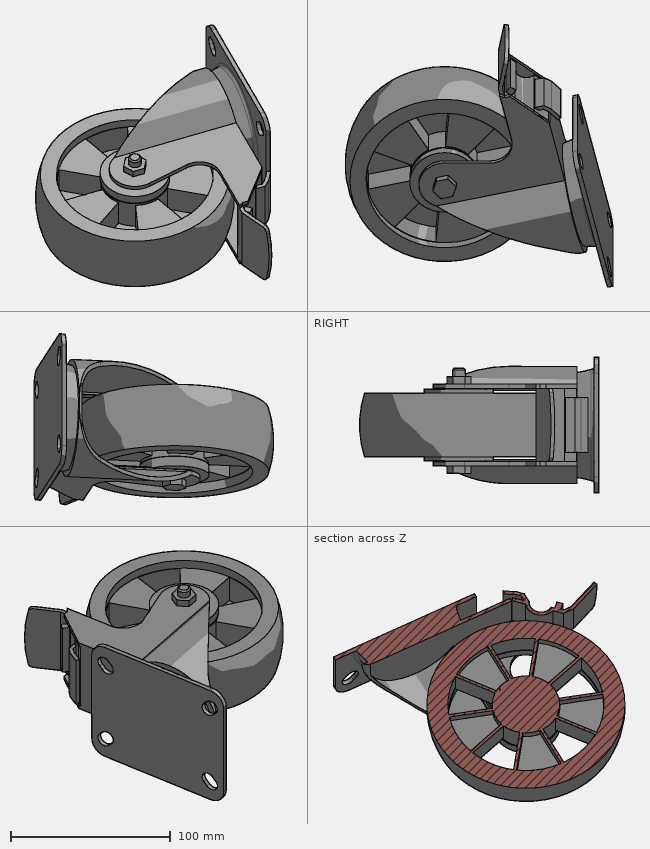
import cadquery as cq
import math


OVERALL_LENGTH = 171.1

WHEEL_RADIUS = 62.3
TREAD_EDGE_RADIUS = 59.2
WHEEL_HALF_WIDTH = 20.0
RIM_RADIUS = 98.0 / 2
HUB_RADIUS = 21.2
HUB_FLANGE_RADIUS = 21.7
HUB_FLANGE_THICKNESS = 6.3
HUB_HALF_LENGTH = 22.4
RAISED_SECTORS = 5
SECTOR_ANGLE = 360 / (2 * RAISED_SECTORS)
WEB_FACE_DEPTH = 6.0
POCKET_DEPTH = 18.1
SPOKE_WALL = 2.2
POCKET_LEDGE = 0.3

BOLT_RADIUS = 8.0 / 2
BOLT_END = 35.6
BOLT_CHAMFER = 1.0
NUT_DIAMETER = 15.0
NUT_HEIGHT = 4.6

SWIVEL_X = -40.0
PLATE_TOP = 87.6
PLATE_LENGTH = 100.1
PLATE_WIDTH = 85.0
PLATE_THICKNESS = 2.9
PLATE_CORNER = 10.0
SLOT_SPACING_X = 79.0
SLOT_SPACING_Z = 57.1
SLOT_WIDTH = 9.0
SLOT_LENGTH = 12.5
SLOT_ANGLE = 45
NECK_RADIUS = 34.9
NECK_FLARE = 2.0
NECK_BASE_RADIUS = 33.0

SHEET = 2.5
FORK_TOP = 74.1
SHELL_RADIUS = 73.5 / 2
SHELL_INNER_RADIUS = SHELL_RADIUS - SHEET
ARM_START_X = -13.5
ARM_OUTER_Z = 25.7
ARM_INNER_Z = 23.0
ARM_LIP = 1.4
EYE_RADIUS = 16.0
CUT_BEND = (-66.7, 67.4)
CUT_LINE_START = (-57.3, 57.3)
ARM_BOTTOM = 48.3
NOTCH_RADIUS = 13.7
NOTCH_X = 22.5
SLOPE_TOP_X = 29.1
NOSE_X = 53.7
NOSE_TOP = 54.4
NOSE_BOTTOM = 50.8
NOSE_TIP_X = 55.6

BRAKE_START = (27.9, 71.9)
BRAKE_END = (52.2, ARM_BOTTOM)
BEAD_RADIUS = 10.0
BEAD_CENTRE = (43.8, 62.5)
PEDAL_BEND_X = 59.4
PEDAL_ANGLE = 23.5
PEDAL_BULGE = 2.9
PEDAL_CORNER = 3.5
LEVER_HALF_WIDTH = 17.1
LEVER_LEG_BOTTOM = 66.7
LEVER_BENDS = [(37.5, 72.7), (34.0, 76.5)]
LEVER_TIP = (26.7, 81.0)
TAB_TOP_START = (52.5, 58.0)
TAB_TOP_END = (55.6, 55.1)
TAB_HEIGHT = 6.0


def along_z(profile, half_width):
    return profile.extrude(half_width, both=True)


def cylinder(radius, bottom, top):
    return cq.Workplane("XY").workplane(offset=bottom).circle(radius).extrude(top - bottom)


def swivel_disc(radius, top, thickness):
    """Disc about the swivel axis, hanging down from the height `top`."""
    return cq.Workplane("XZ", origin=(SWIVEL_X, top, 0)).circle(radius).extrude(thickness)


def polar(radius, angle):
    return radius * math.cos(angle), radius * math.sin(angle)


def bar(start, end, thickness):
    """Closed XY outline of a straight strip lying to the left of the line from start to end."""
    length = math.dist(start, end)
    shift_x = -(end[1] - start[1]) / length * thickness
    shift_y = (end[0] - start[0]) / length * thickness
    far_end = (end[0] + shift_x, end[1] + shift_y)
    far_start = (start[0] + shift_x, start[1] + shift_y)
    return cq.Workplane("XY").polyline([start, end, far_end, far_start]).close()


def wheel_sector(angle, bottom, top):
    """Wedge of the web, widened so that it shares a wall with both of its neighbours."""
    half_angle = math.radians(SECTOR_ANGLE / 2)
    reach = WHEEL_RADIUS
    tip_x = -SPOKE_WALL / 2 / math.sin(half_angle)
    half_opening = (reach - tip_x) * math.tan(half_angle)
    wedge = (
        cq.Workplane("XY")
        .workplane(offset=bottom)
        .polyline([(tip_x, 0), (reach, -half_opening), (reach, half_opening)])
        .close()
        .extrude(top - bottom)
        .rotate((0, 0, 0), (0, 0, 1), angle)
    )
    ring = cylinder(RIM_RADIUS, bottom, top).cut(cylinder(HUB_RADIUS, bottom, top))
    return wedge.intersect(ring)


def spoke_wall(angle, half_height):
    """Radial wall joining a raised sector to the sunken one beside it."""
    length = RIM_RADIUS - HUB_RADIUS
    return (
        cq.Workplane("XY")
        .box(length, SPOKE_WALL, 2 * half_height)
        .translate((HUB_RADIUS + length / 2, 0, 0))
        .rotate((0, 0, 0), (0, 0, 1), angle)
    )


def make_wheel():
    tyre = (
        cq.Workplane("XZ")
        .moveTo(RIM_RADIUS, -WHEEL_HALF_WIDTH)
        .lineTo(TREAD_EDGE_RADIUS, -WHEEL_HALF_WIDTH)
        .threePointArc((WHEEL_RADIUS, 0), (TREAD_EDGE_RADIUS, WHEEL_HALF_WIDTH))
        .lineTo(RIM_RADIUS, WHEEL_HALF_WIDTH)
        .close()
        .revolve(360, (0, 0, 0), (0, 1, 0))
    )
    wheel = tyre.union(cylinder(HUB_RADIUS, -HUB_HALF_LENGTH, HUB_HALF_LENGTH))
    web_face = WHEEL_HALF_WIDTH - WEB_FACE_DEPTH
    pocket_floor = web_face - POCKET_DEPTH
    for index in range(RAISED_SECTORS):
        raised_angle = 2 * index * SECTOR_ANGLE
        wheel = wheel.union(wheel_sector(raised_angle, -pocket_floor, web_face))
        wheel = wheel.union(wheel_sector(raised_angle + SECTOR_ANGLE, -web_face, pocket_floor))
        for side in (-1, 1):
            wheel = wheel.union(spoke_wall(raised_angle + side * SECTOR_ANGLE / 2, web_face))
    flanges = cylinder(HUB_FLANGE_RADIUS, -HUB_HALF_LENGTH, HUB_HALF_LENGTH)
    flange_face = HUB_HALF_LENGTH - HUB_FLANGE_THICKNESS
    flanges = flanges.cut(cylinder(HUB_FLANGE_RADIUS, -flange_face, flange_face))

    liner = cylinder(RIM_RADIUS, -web_face, web_face)
    liner = liner.cut(cylinder(RIM_RADIUS - POCKET_LEDGE, -web_face, web_face))
    return wheel.union(flanges).union(liner)


def make_axle():
    nut_face = ARM_OUTER_Z + NUT_HEIGHT
    bolt = cylinder(BOLT_RADIUS, -nut_face, BOLT_END).faces(">Z").chamfer(BOLT_CHAMFER)
    hexagons = (
        cq.Workplane("XY")
        .workplane(offset=-nut_face)
        .transformed(rotate=(0, 0, 90))
        .polygon(6, NUT_DIAMETER)
        .extrude(2 * nut_face)
    )
    return bolt.union(hexagons)


def make_mount():
    plate_bottom = PLATE_TOP - PLATE_THICKNESS
    mount = (
        cq.Workplane("XZ", origin=(SWIVEL_X, PLATE_TOP, 0))
        .rect(PLATE_LENGTH, PLATE_WIDTH)
        .extrude(PLATE_THICKNESS)
        .edges("|Y")
        .fillet(PLATE_CORNER)
    )
    for side_x in (-1, 1):
        for side_z in (-1, 1):
            slot = (
                cq.Workplane("XZ", origin=(SWIVEL_X, PLATE_TOP, 0))
                .center(side_x * SLOT_SPACING_X / 2, side_z * SLOT_SPACING_Z / 2)
                .slot2D(SLOT_LENGTH, SLOT_WIDTH, side_x * side_z * SLOT_ANGLE)
                .extrude(PLATE_THICKNESS)
            )
            mount = mount.cut(slot)
    neck = (
        cq.Workplane("XY", origin=(SWIVEL_X, 0, 0))
        .moveTo(0, plate_bottom)
        .lineTo(NECK_RADIUS + NECK_FLARE, plate_bottom)
        .radiusArc((NECK_RADIUS, plate_bottom - NECK_FLARE), -NECK_FLARE)
        .lineTo(NECK_BASE_RADIUS, FORK_TOP)
        .lineTo(0, FORK_TOP)
        .close()
        .revolve(360, (0, 0, 0), (0, 1, 0))
    )
    return mount.union(neck)


def fork_outline():
    start_distance = math.hypot(*CUT_LINE_START)
    start_angle = math.atan2(CUT_LINE_START[1], CUT_LINE_START[0])
    rear_tangent = polar(EYE_RADIUS, start_angle + math.acos(EYE_RADIUS / start_distance))

    notch_y = ARM_BOTTOM - NOTCH_RADIUS
    notch_distance = math.hypot(NOTCH_X, notch_y)
    lean = math.acos((EYE_RADIUS + NOTCH_RADIUS) / notch_distance)
    front_angle = math.atan2(notch_y, NOTCH_X) - lean
    front_tangent = polar(EYE_RADIUS, front_angle)
    notch_dx, notch_dy = polar(NOTCH_RADIUS, front_angle + math.pi)
    mid_dx, mid_dy = polar(NOTCH_RADIUS, (front_angle + math.pi + math.pi / 2) / 2)

    return (
        cq.Workplane("XY")
        .moveTo(SWIVEL_X - SHELL_RADIUS, FORK_TOP)
        .threePointArc(CUT_BEND, CUT_LINE_START)
        .lineTo(*rear_tangent)
        .threePointArc((0, -EYE_RADIUS), front_tangent)
        .lineTo(NOTCH_X + notch_dx, notch_y + notch_dy)
        .threePointArc((NOTCH_X + mid_dx, notch_y + mid_dy), (NOTCH_X, ARM_BOTTOM))
        .lineTo(NOSE_TIP_X, ARM_BOTTOM)
        .lineTo(NOSE_X, NOSE_BOTTOM)
        .lineTo(NOSE_X, NOSE_TOP)
        .lineTo(SLOPE_TOP_X, FORK_TOP)
        .close()
    )


def make_fork():
    height = FORK_TOP + EYE_RADIUS
    shell = swivel_disc(SHELL_RADIUS, FORK_TOP, height)
    shell = shell.cut(swivel_disc(SHELL_INNER_RADIUS, FORK_TOP - SHEET, height))
    behind_arms = (
        cq.Workplane("XY")
        .box(2 * SHELL_RADIUS, 2 * height, 2 * SHELL_RADIUS)
        .translate((ARM_START_X - SHELL_RADIUS, 0, 0))
    )
    shell = shell.intersect(behind_arms)

    lip_z = ARM_INNER_Z + ARM_LIP
    lip_x = SWIVEL_X + math.sqrt(SHELL_INNER_RADIUS**2 - lip_z**2)
    arms = (
        cq.Workplane("XY")
        .box(NOSE_TIP_X - lip_x, 2 * height, 2 * ARM_OUTER_Z)
        .cut(cq.Workplane("XY").box(2 * height, 2 * height, 2 * ARM_INNER_Z))
        .translate(((NOSE_TIP_X + lip_x) / 2, 0, 0))
    )
    top_web = (
        cq.Workplane("XY")
        .box(BRAKE_START[0] - ARM_START_X, SHEET, 2 * ARM_OUTER_Z)
        .translate(((BRAKE_START[0] + ARM_START_X) / 2, FORK_TOP - SHEET / 2, 0))
    )
    blank = shell.union(arms).union(top_web)
    return blank.intersect(along_z(fork_outline(), SHELL_RADIUS))


def make_brake_sheet():
    slope = along_z(bar(BRAKE_START, BRAKE_END, SHEET), ARM_INNER_Z)
    bead = along_z(cq.Workplane("XY").center(*BEAD_CENTRE).circle(BEAD_RADIUS), ARM_INNER_Z)
    hollow = along_z(
        cq.Workplane("XY").center(*BEAD_CENTRE).circle(BEAD_RADIUS - SHEET), ARM_INNER_Z
    )
    below_slope = along_z(bar(BRAKE_END, BRAKE_START, BEAD_RADIUS), ARM_INNER_Z)
    bead = bead.intersect(slope.union(below_slope))
    foot = along_z(bar(BRAKE_END, (PEDAL_BEND_X, ARM_BOTTOM), SHEET), ARM_INNER_Z)
    return slope.union(bead).cut(hollow).union(foot)


def make_pedal():
    direction = polar(1, math.radians(PEDAL_ANGLE))
    plane = cq.Plane(
        origin=(PEDAL_BEND_X, ARM_BOTTOM, 0),
        xDir=(direction[0], direction[1], 0),
        normal=(-direction[1], direction[0], 0),
    )
    tip_x = SWIVEL_X - PLATE_LENGTH / 2 + OVERALL_LENGTH
    length = (tip_x - PEDAL_BEND_X) / direction[0]
    side_length = length - PEDAL_BULGE
    return (
        cq.Workplane(plane)
        .moveTo(0, -ARM_INNER_Z)
        .lineTo(side_length, -ARM_INNER_Z)
        .threePointArc((length, 0), (side_length, ARM_INNER_Z))
        .lineTo(0, ARM_INNER_Z)
        .close()
        .extrude(SHEET)
        .edges(cq.selectors.ParallelDirSelector(plane.zDir))
        .edges(">X")
        .fillet(PEDAL_CORNER)
    )


def make_lever():
    points = [(LEVER_BENDS[0][0], LEVER_LEG_BOTTOM), *LEVER_BENDS, LEVER_TIP]
    lever = cq.Workplane("XY")
    for start, end in zip(points, points[1:]):
        lever = lever.union(along_z(bar(start, end, SHEET), LEVER_HALF_WIDTH))
    return lever


def make_tab():
    return along_z(bar(TAB_TOP_END, TAB_TOP_START, TAB_HEIGHT), LEVER_HALF_WIDTH)


result = (
    make_wheel()
    .union(make_axle())
    .union(make_mount())
    .union(make_fork())
    .union(make_brake_sheet())
    .union(make_pedal())
    .union(make_lever())
    .union(make_tab())
)